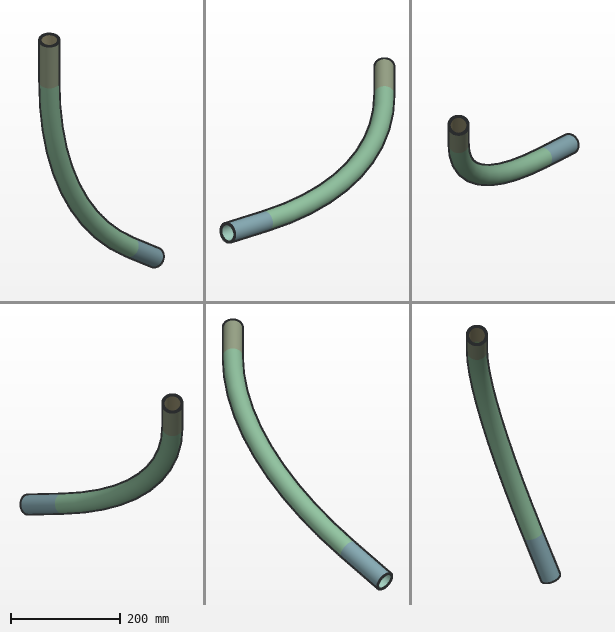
import cadquery as cq
import math

outer_diameter = 38.0
inner_diameter = 32.0
end_length = 100.0
bend_radius = 766.0
bend_angle = 45.0


def bend_point(angle_degrees):
    """Centreline point (Y, Z) of the bend, at an angle from its upper end."""
    angle = math.radians(angle_degrees)
    return bend_radius * (1 - math.cos(angle)), -bend_radius * math.sin(angle)


bend_end = bend_point(bend_angle)
lower_end = (
    bend_end[0] + end_length * math.sin(math.radians(bend_angle)),
    bend_end[1] - end_length * math.cos(math.radians(bend_angle)),
)
centreline = (
    cq.Workplane("YZ")
    .moveTo(0, end_length)
    .lineTo(0, 0)
    .threePointArc(bend_point(bend_angle / 2), bend_end)
    .lineTo(*lower_end)
)

result = (
    cq.Workplane("XY", origin=(0, 0, end_length))
    .circle(outer_diameter / 2)
    .circle(inner_diameter / 2)
    .sweep(centreline)
)